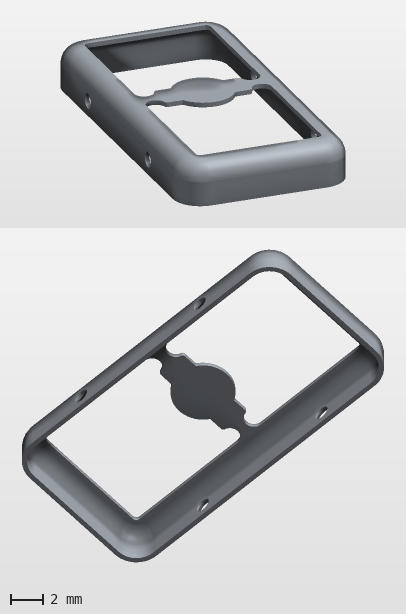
import cadquery as cq

length = 22.0
width = 11.3
height = 2.8
corner_radius = 1.8
top_fillet = 1.19

plate_thickness = 0.3
rim_width = 1.5

disc_radius = 2.0
bar_half_width = 1.01
notch_radius = 0.64
bar_corner_fillet = 0.2

hole_diameter = 1.0
hole_spacing = 9.99
hole_height = 1.0

plate_bottom = height - plate_thickness
opening_length = length - 2 * rim_width
opening_width = width - 2 * rim_width


def rounded_block(inset, bottom, top):
    """Block following the outer outline at a constant inset."""
    block = cq.Workplane("XY").workplane(offset=bottom)
    block = block.rect(length - 2 * inset, width - 2 * inset).extrude(top - bottom)
    return block.edges("|Z").fillet(corner_radius - inset)


def make_frame():
    """Hollow shell, open below, with a large opening in its top plate."""
    shell = rounded_block(0, 0, height).faces(">Z").edges().fillet(top_fillet)
    cavity = rounded_block(plate_thickness, 0, plate_bottom)
    cavity = cavity.faces(">Z").edges().fillet(top_fillet - plate_thickness)
    opening = rounded_block(rim_width, plate_bottom, height)
    return shell.cut(cavity).cut(opening)


def make_bridge():
    """Bar with a central disc, necked by round notches at its ends."""
    plane = cq.Workplane("XY").workplane(offset=plate_bottom)
    bar = plane.rect(2 * bar_half_width, opening_width).extrude(plate_thickness)
    notch_centers = [
        (x_side * bar_half_width, y_side * (opening_width / 2 - notch_radius))
        for x_side in (-1, 1)
        for y_side in (-1, 1)
    ]
    notches = plane.pushPoints(notch_centers).circle(notch_radius).extrude(plate_thickness)
    bar = bar.cut(notches)

    corner_y = opening_width / 2 - 2 * notch_radius
    for x_side in (-1, 1):
        for y_side in (-1, 1):
            corner = cq.selectors.NearestToPointSelector(
                (x_side * bar_half_width, y_side * corner_y, height - plate_thickness / 2)
            )
            bar = bar.edges("|Z").edges(corner).fillet(bar_corner_fillet)

    disc = plane.circle(disc_radius).extrude(plate_thickness)
    return bar.union(disc)


def make_cross_holes():
    """Cutters that run along Y through both long walls."""
    return (
        cq.Workplane("XZ")
        .pushPoints([(-hole_spacing / 2, hole_height), (hole_spacing / 2, hole_height)])
        .circle(hole_diameter / 2)
        .extrude(width / 2, both=True)
    )


result = make_frame().union(make_bridge()).cut(make_cross_holes())